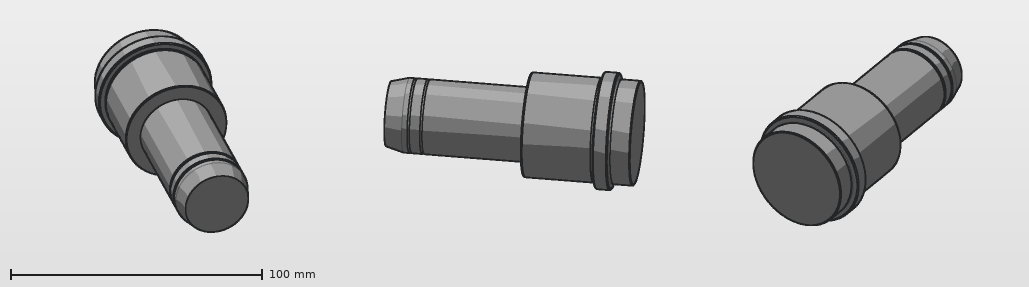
import cadquery as cq
import math

total_length = 100.0

body_diameter = 42.0
body_length = 44.0
head_chamfer = 0.4
body_end_chamfer_length = 0.6
body_end_chamfer_depth = 0.3

flange_diameter = 47.0
flange_start = 8.9
flange_width = 6.0
flange_chamfer = 0.5
front_relief_width = 0.9
rear_relief_width = 1.1
relief_depth = 0.4

shank_diameter = 30.0
oil_groove_starts = (84.5, 89.6)
oil_groove_width = 0.9
oil_groove_depth = 0.4
taper_length = 7.2
taper_angle = 15.0

body_radius = body_diameter / 2
flange_radius = flange_diameter / 2
shank_radius = shank_diameter / 2
flange_end = flange_start + flange_width
taper_start = total_length - taper_length
tip_radius = shank_radius - taper_length * math.tan(math.radians(taper_angle))


def add_groove(profile, start, width, surface_radius, depth):
    """Run the profile along a cylinder to a groove, then through its rounded hollow."""
    bottom = (start + width / 2, surface_radius - depth)
    end = (start + width, surface_radius)
    return profile.lineTo(start, surface_radius).threePointArc(bottom, end)


def add_head(profile):
    """Chamfered head face and the cylinder up to the flange."""
    profile = profile.lineTo(0, body_radius - head_chamfer).lineTo(head_chamfer, body_radius)
    relief_start = flange_start - front_relief_width
    return add_groove(profile, relief_start, front_relief_width, body_radius, relief_depth)


def add_flange(profile):
    """Flange chamfered on both rims."""
    return (
        profile.lineTo(flange_start, flange_radius - flange_chamfer)
        .lineTo(flange_start + flange_chamfer, flange_radius)
        .lineTo(flange_end - flange_chamfer, flange_radius)
        .lineTo(flange_end, flange_radius - flange_chamfer)
    )


def add_body(profile):
    """Body from the rear relief groove to its chamfered shoulder."""
    profile = add_groove(profile, flange_end, rear_relief_width, body_radius, relief_depth)
    return (
        profile.lineTo(body_length - body_end_chamfer_length, body_radius)
        .lineTo(body_length, body_radius - body_end_chamfer_depth)
    )


def add_shank(profile):
    """Grooved shank ending in the tapered tip."""
    profile = profile.lineTo(body_length, shank_radius)
    for start in oil_groove_starts:
        profile = add_groove(profile, start, oil_groove_width, shank_radius, oil_groove_depth)
    return profile.lineTo(taper_start, shank_radius).lineTo(total_length, tip_radius)


half_section = cq.Workplane("XY").moveTo(0, 0)
for add_stretch in (add_head, add_flange, add_body, add_shank):
    half_section = add_stretch(half_section)
half_section = half_section.lineTo(total_length, 0).close()

result = half_section.revolve(360, (0, 0, 0), (1, 0, 0))